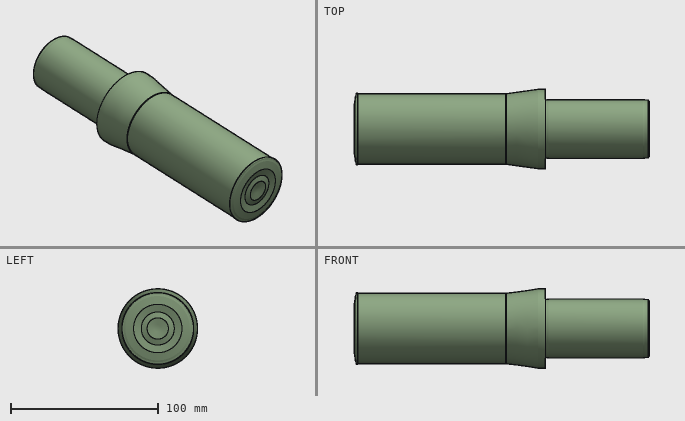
import cadquery as cq

total_length = 200.0
sleeve_length = 103.2
collar_end = 129.5

barrel_radius = 48.0 / 2
rim_radius = 24.5
rim_start = 2.2
rim_step_length = 0.5
rim_edge_radius = 23.0
rim_edge_depth = 1.2
face_radius = 21.8
face_edge_depth = 0.8
ripple_depth = 1.0
crest_outer_radius = 16.5
valley_radius = 11.2
crest_inner_radius = 7.2
joint_chamfer = 0.5

collar_radius = 54.0 / 2
collar_land = 4.8
shank_radius = 40.0 / 2
relief_radius = 39.5 / 2
neck_length = 1.2
neck_fillet = 0.5
neck_taper = 1.2
tip_length = 4.2
tip_taper = 1.0
tip_chamfer = 1.0


def revolve_about_x(profile):
    """Turn a closed profile of (X, radius) points about the X axis."""
    return profile.close().revolve(360, (0, 0, 0), (1, 0, 0))


def make_sleeve():
    along_axis = (1, 0)
    radially_out = (0, 1)
    profile = (
        cq.Workplane("XY")
        .moveTo(sleeve_length, 0)
        .lineTo(ripple_depth, 0)
        .lineTo(0, crest_inner_radius)
        .lineTo(ripple_depth, valley_radius)
        .lineTo(0, crest_outer_radius)
        .lineTo(face_edge_depth, face_radius)
        .lineTo(rim_edge_depth, rim_edge_radius)
        .spline(
            [(rim_start, rim_radius)],
            tangents=[radially_out, along_axis],
            includeCurrent=True,
        )
        .lineTo(rim_start + rim_step_length, barrel_radius)
        .lineTo(sleeve_length - joint_chamfer, barrel_radius)
        .lineTo(sleeve_length, barrel_radius - joint_chamfer)
    )
    return revolve_about_x(profile)


def make_stem():
    neck_end = collar_end + neck_length
    tip_start = total_length - tip_length
    profile = (
        cq.Workplane("XY")
        .moveTo(sleeve_length, 0)
        .lineTo(sleeve_length, barrel_radius)
        .lineTo(collar_end - collar_land, collar_radius)
        .lineTo(collar_end, collar_radius)
        .lineTo(collar_end, relief_radius + neck_fillet)
        .tangentArcPoint((collar_end + neck_fillet, relief_radius), relative=False)
        .lineTo(neck_end, relief_radius)
        .lineTo(neck_end + neck_taper, shank_radius)
        .lineTo(tip_start, shank_radius)
        .lineTo(tip_start + tip_taper, relief_radius)
        .lineTo(total_length - tip_chamfer, relief_radius)
        .lineTo(total_length, relief_radius - tip_chamfer)
        .lineTo(total_length, 0)
    )
    return revolve_about_x(profile)


sleeve = make_sleeve()
stem = make_stem()

result = cq.Compound.makeCompound([sleeve.val(), stem.val()])